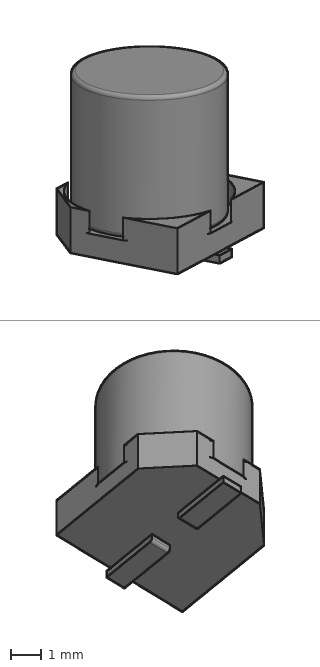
import cadquery as cq
import math

total_height = 6.1
base_side = 5.5
base_top = 1.89
corner_cut = base_side / 4
recess_opening = 1.305
recess_radius = math.hypot(base_side / 2, recess_opening / 2)
recess_floor = 1.1
can_diameter = 5.2
can_edge_radius = 0.145
terminal_span = 5.9
terminal_gap = 1.305
terminal_width = 0.78
terminal_height = 0.285
terminal_edge_radius = 0.12


def make_base():
    """Square base with two bevelled corners and a round recess for the can."""
    block = (
        cq.Workplane("XY")
        .workplane(offset=terminal_height)
        .rect(base_side, base_side)
        .extrude(base_top - terminal_height)
        .edges("|Z and <X")
        .chamfer(corner_cut)
    )
    recess = (
        cq.Workplane("XY")
        .workplane(offset=recess_floor)
        .circle(recess_radius)
        .extrude(base_top - recess_floor)
    )
    return block.cut(recess)


def make_can():
    """Cylinder standing on the recess floor, rounded at both ends."""
    return (
        cq.Workplane("XY")
        .workplane(offset=recess_floor)
        .circle(can_diameter / 2)
        .extrude(total_height - recess_floor)
        .edges("%CIRCLE")
        .fillet(can_edge_radius)
    )


def make_terminal(turn):
    """Flat terminal under the base, turned about Z, with a rounded lower inner edge."""
    length = (terminal_span - terminal_gap) / 2
    return (
        cq.Workplane("XY")
        .box(length, terminal_width, terminal_height, centered=(False, True, False))
        .edges("|Y and <X and <Z")
        .fillet(terminal_edge_radius)
        .translate((terminal_gap / 2, 0, 0))
        .rotate((0, 0, 0), (0, 0, 1), turn)
    )


base = make_base()
can = make_can()
terminals = [make_terminal(turn).val() for turn in (0, 180)]

result = cq.Compound.makeCompound([base.val(), can.val(), *terminals])